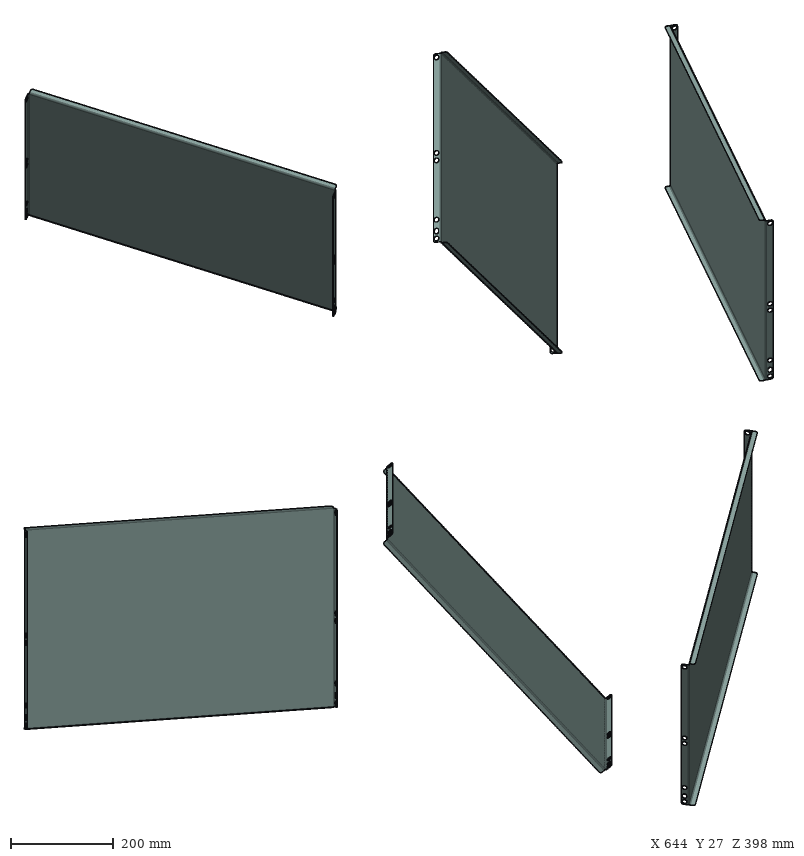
import cadquery as cq

width = 644.0
depth = 27.0
height = 398.0

thickness = 1.5
long_bend_radius = 2.5
side_bend_radius = 2.5
side_flange_depth = 16.0
corner_relief = 2.5
flange_corner_radius = 4.5

hole_diameter = 9.5
hole_setback = 6.5
hole_heights = [10.0, 49.5, 173.0, 189.0, 388.0]

slot_height = 26.0
slot_length = 11.5
slot_width = 8.5

panel_back = side_flange_depth
panel_front = panel_back - thickness
long_flange_depth = depth - panel_front


def folded_channel(web, leg, length, bend_radius):
    """Channel extruded along Z, web centred on X from Y = 0, legs toward +Y."""
    outer = cq.Workplane("XY").box(web, leg, length, centered=(True, False, True))
    outer = outer.edges("|Z and <Y").fillet(bend_radius)
    cavity = cq.Workplane("XY").box(
        web - 2 * thickness, leg, length, centered=(True, False, True)
    )
    cavity = cavity.edges("|Z and <Y").fillet(bend_radius - thickness)
    channel = outer.cut(cavity.translate((0, thickness, 0)))
    tip_corners = channel.faces(">Y").edges("|X")
    return tip_corners.fillet(flange_corner_radius)


def cut_holes(body):
    for hole_height in hole_heights:
        drill = (
            cq.Workplane("YZ")
            .center(hole_setback, hole_height - height / 2)
            .circle(hole_diameter / 2)
            .extrude(width, both=True)
        )
        body = body.cut(drill)
    slot = (
        cq.Workplane("YZ")
        .center(hole_setback, slot_height - height / 2)
        .slot2D(slot_length, slot_width, 90)
        .extrude(width, both=True)
    )
    return body.cut(slot)


side_channel = (
    folded_channel(width, side_flange_depth, height - 2 * corner_relief, side_bend_radius)
    .rotate((0, 0, 0), (0, 0, 1), 180)
    .translate((0, panel_back, 0))
)

long_channel = (
    folded_channel(height, long_flange_depth, width - 2 * corner_relief, long_bend_radius)
    .rotate((0, 0, 0), (0, 1, 0), 90)
    .translate((0, panel_front, 0))
)

result = cut_holes(side_channel.union(long_channel))